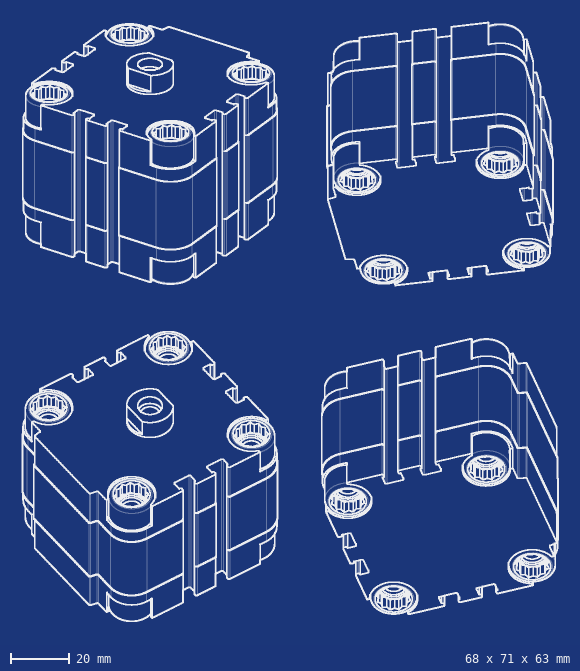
import cadquery as cq
import math


BARREL_HALF = 34.0
CORNER_PITCH = 50.0
CAP_INSET = 0.25
RIDGE_Y = 37.0
RIDGE_TOP_HALF = 16.9
RIDGE_FOOT_HALF = 17.5
RIDGE_ROUND = 0.4

HOUSING_HEIGHT = 55.6
CAP_HEIGHT = 14.5
TOTAL_HEIGHT = 63.0

SLOT_OFFSET = 6.8
SLOT_NECK = 5.2
SLOT_WIDTH = 6.7
SLOT_FLOOR = 28.95
SLOT_LIP = 32.2
SLOT_ROUND = 0.5

BOSS_RADIUS = 8.0
BOSS_GAP = 0.25
BOSS_ROUND = 1.1
NOTCH_DEPTH = 9.65
NOTCH_OVERLAP = 2.5

SOCKET_MOUTH_RADIUS = 6.35
MOUTH_ANGLE = 30.0
SOCKET_FLATS = 10.0
SOCKET_DEPTH = 5.2
RELIEF_DIAMETER = 10.2
RELIEF_DEPTH = 6.2
THREAD_CLEARANCE = 8.4
THREAD_CORE = 6.65
LEAD_IN_DEPTH = 0.75

ROD_DIAMETER = 16.0
ROD_FLATS = 13.0
ROD_FLAT_HEIGHT = 6.3
ROD_BORE_DEPTH = 3.3
ROD_CORE_DEPTH = 12.0
DRILL_POINT_ANGLE = 118.0


def housing_prism(inset, bottom, height):
    """Rounded square with the ridge on its +Y side, all faces moved in by the inset."""
    side = 2 * (BARREL_HALF - inset)
    corner = BARREL_HALF - CORNER_PITCH / 2 - inset
    square = (
        cq.Workplane("XY", origin=(0, 0, bottom))
        .rect(side, side)
        .extrude(height)
        .edges("|Z")
        .fillet(corner)
    )
    ridge = (
        cq.Workplane("XY", origin=(0, 0, bottom))
        .moveTo(-(RIDGE_FOOT_HALF - inset), 0)
        .lineTo(-(RIDGE_FOOT_HALF - inset), BARREL_HALF - inset)
        .lineTo(-(RIDGE_TOP_HALF - inset), RIDGE_Y - inset)
        .lineTo(RIDGE_TOP_HALF - inset, RIDGE_Y - inset)
        .lineTo(RIDGE_FOOT_HALF - inset, BARREL_HALF - inset)
        .lineTo(RIDGE_FOOT_HALF - inset, 0)
        .close()
        .extrude(height)
    )
    ridge_edges = cq.selectors.BoxSelector(
        (-BARREL_HALF, BARREL_HALF - RIDGE_ROUND, bottom),
        (BARREL_HALF, RIDGE_Y + RIDGE_ROUND, bottom + height),
    )
    return square.union(ridge).edges("|Z").edges(ridge_edges).fillet(RIDGE_ROUND)


def slot_cutter(face, bottom, height):
    """T-slot along Z, open towards -Y; face is the distance of the outer face from the axis."""
    neck_half = SLOT_NECK / 2
    inner_half = SLOT_WIDTH / 2
    r = SLOT_ROUND
    return (
        cq.Workplane("XY", origin=(0, 0, bottom))
        .moveTo(-neck_half - r, -face)
        .radiusArc((-neck_half, -face + r), -r)
        .lineTo(-neck_half, -SLOT_LIP - r)
        .radiusArc((-neck_half - r, -SLOT_LIP), -r)
        .lineTo(-inner_half, -SLOT_LIP)
        .lineTo(-inner_half, -SLOT_FLOOR - r)
        .radiusArc((-inner_half + r, -SLOT_FLOOR), r)
        .lineTo(inner_half - r, -SLOT_FLOOR)
        .radiusArc((inner_half, -SLOT_FLOOR - r), r)
        .lineTo(inner_half, -SLOT_LIP)
        .lineTo(neck_half + r, -SLOT_LIP)
        .radiusArc((neck_half, -SLOT_LIP - r), -r)
        .lineTo(neck_half, -face + r)
        .radiusArc((neck_half + r, -face), -r)
        .close()
        .extrude(height)
    )


def housing_section(inset, bottom, height):
    """One length of the housing with its six T-slots."""
    section = housing_prism(inset, bottom, height)
    slot = slot_cutter(BARREL_HALF - inset, bottom, height)
    for side_angle in (-90, 0, 90):
        for offset in (-SLOT_OFFSET, SLOT_OFFSET):
            placed = slot.translate((offset, 0, 0)).rotate((0, 0, 0), (0, 0, 1), side_angle)
            section = section.cut(placed)
    return section


def cone(wide_radius, narrow_radius, top, depth):
    """Cone on the Z axis that narrows downwards from the top height."""
    return cq.Workplane(cq.Solid.makeCone(
        wide_radius, narrow_radius, depth, pnt=cq.Vector(0, 0, top), dir=cq.Vector(0, 0, -1)))


def corner_cylinder(radius):
    """Cylinder on the Z axis from the notch floor up to the top of the housing."""
    base = cq.Workplane("XY", origin=(0, 0, HOUSING_HEIGHT - NOTCH_DEPTH))
    return base.circle(radius).extrude(NOTCH_DEPTH)


def corner_notch():
    """Material removed around a boss: an open square at the (+X, +Y) corner and the boss circle."""
    reach = BARREL_HALF - CORNER_PITCH / 2 + NOTCH_OVERLAP
    square = cq.Workplane("XY", origin=(0, 0, HOUSING_HEIGHT - NOTCH_DEPTH)).box(
        reach, reach, NOTCH_DEPTH, centered=False)
    square = square.translate((-NOTCH_OVERLAP, -NOTCH_OVERLAP, 0))
    return square.union(corner_cylinder(BOSS_RADIUS + BOSS_GAP))


def boss():
    """Boss with a rounded rim, standing on the notch floor."""
    return corner_cylinder(BOSS_RADIUS).faces(">Z").edges().fillet(BOSS_ROUND)


def socket():
    """Twelve-point socket with a conical mouth, a round relief and a lead-in to the hole."""
    top = HOUSING_HEIGHT
    mouth_depth = (SOCKET_MOUTH_RADIUS - RELIEF_DIAMETER / 2) * math.tan(math.radians(MOUTH_ANGLE))
    cutter = cone(SOCKET_MOUTH_RADIUS, RELIEF_DIAMETER / 2, top, mouth_depth)
    relief = cq.Workplane("XY", origin=(0, 0, top)).circle(RELIEF_DIAMETER / 2).extrude(-RELIEF_DEPTH)
    cutter = cutter.union(relief)
    hexagon_diameter = SOCKET_FLATS / math.cos(math.pi / 6)
    for turn in (0, 30):
        hexagon = (
            cq.Workplane("XY", origin=(0, 0, top))
            .polygon(6, hexagon_diameter)
            .extrude(-SOCKET_DEPTH)
            .rotate((0, 0, 0), (0, 0, 1), turn)
        )
        cutter = cutter.union(hexagon)
    lead_in = cone(THREAD_CLEARANCE / 2, THREAD_CORE / 2, top - RELIEF_DEPTH, LEAD_IN_DEPTH)
    return cutter.union(lead_in)


def both_ends(shape):
    """The shape at the top of the housing together with its mirror image at the bottom."""
    middle = (0, 0, HOUSING_HEIGHT / 2)
    return [shape, shape.mirror("XY", middle)]


def make_housing():
    barrel_height = HOUSING_HEIGHT - 2 * CAP_HEIGHT
    body = housing_section(0, CAP_HEIGHT, barrel_height)
    for cap_bottom in (0, HOUSING_HEIGHT - CAP_HEIGHT):
        body = body.union(housing_section(CAP_INSET, cap_bottom, CAP_HEIGHT))
    hole = cq.Workplane("XY").circle(THREAD_CORE / 2).extrude(HOUSING_HEIGHT)
    for x_sign, y_sign, turn in ((1, 1, 0), (-1, 1, 90), (-1, -1, 180), (1, -1, 270)):
        place = (x_sign * CORNER_PITCH / 2, y_sign * CORNER_PITCH / 2, 0)
        notch = corner_notch().rotate((0, 0, 0), (0, 0, 1), turn)
        for end_notch in both_ends(notch):
            body = body.cut(end_notch.translate(place))
        for end_boss in both_ends(boss()):
            body = body.union(end_boss.translate(place))
        for end_socket in both_ends(socket()):
            body = body.cut(end_socket.translate(place))
        body = body.cut(hole.translate(place))
    return body.cut(rod_blank())


def rod_blank():
    """Plain round rod, seated on the lower end cap."""
    base = cq.Workplane("XY", origin=(0, 0, CAP_HEIGHT))
    return base.circle(ROD_DIAMETER / 2).extrude(TOTAL_HEIGHT - CAP_HEIGHT)


def rod_bore():
    """Blind hole in the rod end: wide mouth, lead-in cone, core and drill point."""
    mouth = cq.Workplane("XY", origin=(0, 0, TOTAL_HEIGHT))
    bore = mouth.circle(THREAD_CLEARANCE / 2).extrude(-ROD_BORE_DEPTH)
    core = mouth.circle(THREAD_CORE / 2).extrude(-ROD_CORE_DEPTH)
    lead_in = cone(THREAD_CLEARANCE / 2, THREAD_CORE / 2, TOTAL_HEIGHT - ROD_BORE_DEPTH, LEAD_IN_DEPTH)
    point_depth = THREAD_CORE / 2 / math.tan(math.radians(DRILL_POINT_ANGLE / 2))
    point = cone(THREAD_CORE / 2, 0, TOTAL_HEIGHT - ROD_CORE_DEPTH, point_depth)
    return bore.union(lead_in).union(core).union(point)


def make_rod():
    rod = rod_blank()
    for y_sign in (-1, 1):
        beyond_flat = cq.Workplane("XY", origin=(0, 0, TOTAL_HEIGHT - ROD_FLAT_HEIGHT)).box(
            ROD_DIAMETER, ROD_DIAMETER, ROD_FLAT_HEIGHT, centered=(True, True, False))
        rod = rod.cut(beyond_flat.translate((0, y_sign * (ROD_FLATS + ROD_DIAMETER) / 2, 0)))
    return rod.cut(rod_bore())


housing = make_housing()
piston_rod = make_rod()
result = cq.Compound.makeCompound([housing.val(), piston_rod.val()])